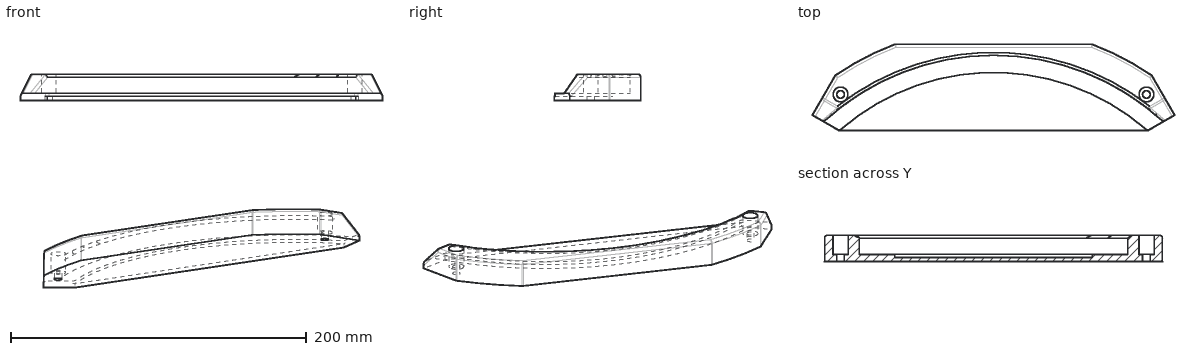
import cadquery as cq
import math

overall_width = 245.28
overall_depth = 58.65
overall_height = 18.0
floor_thickness = 3.0
ledge_height = 5.0
recess_radius = 157.7
wall_radius = 169.3
outer_radius = 189.0
front_y = 118.25
end_angle = 30.0
ramp_angle = 45.0
edge_radius = 2.0
length_tolerance = 0.001
bolt_diameter = 5.0
head_diameter = 10.0
head_floor = ledge_height
bolt_x = 103.5
bolt_y = 142.8

back_y = front_y + overall_depth
half_width = overall_width / 2
front_corner_x = math.sqrt(recess_radius**2 - front_y**2)
cos_end = math.cos(math.radians(end_angle))
sin_end = math.sin(math.radians(end_angle))
tip_y = front_y + (half_width - front_corner_x) * sin_end / cos_end
back_corner_x = math.sqrt(outer_radius**2 - back_y**2)

tip_along_side = tip_y * cos_end - half_width * sin_end
tip_excess = half_width**2 + tip_y**2 - outer_radius**2
side_length = math.sqrt(tip_along_side**2 - tip_excess) - tip_along_side
side_corner_x = half_width - side_length * sin_end
side_corner_y = tip_y + side_length * cos_end

back_corner_angle = math.atan2(back_y, back_corner_x)
side_corner_angle = math.atan2(side_corner_y, side_corner_x)
arc_mid_angle = (back_corner_angle + side_corner_angle) / 2
arc_mid_x = outer_radius * math.cos(arc_mid_angle)
arc_mid_y = outer_radius * math.sin(arc_mid_angle)


def outline(height):
    """Plan outline of the part with its back corners rounded, extruded up from the base."""
    body = (
        cq.Workplane("XY")
        .moveTo(-front_corner_x, front_y)
        .lineTo(front_corner_x, front_y)
        .lineTo(half_width, tip_y)
        .lineTo(side_corner_x, side_corner_y)
        .threePointArc((arc_mid_x, arc_mid_y), (back_corner_x, back_y))
        .lineTo(-back_corner_x, back_y)
        .threePointArc((-arc_mid_x, arc_mid_y), (-side_corner_x, side_corner_y))
        .lineTo(-half_width, tip_y)
        .close()
        .extrude(height)
    )
    behind_tips = cq.selectors.BoxSelector(
        (-half_width, (tip_y + side_corner_y) / 2, 0),
        (half_width, back_y + edge_radius, height),
    )
    return body.edges("|Z").edges(behind_tips).fillet(edge_radius)


def disc(radius):
    """Full-height cylinder about the common arc centre."""
    return cq.Workplane("XY").circle(radius).extrude(overall_height)


def curved_ledge():
    """Low step between the recess and the rim, with rounded corners at its two ends."""
    ledge = outline(ledge_height).cut(disc(recess_radius))
    ledge = ledge.intersect(disc(wall_radius + edge_radius))
    return ledge.edges("|Z").edges("<Y").fillet(edge_radius)


def end_ramp(side):
    """Wedge removed above the sloped end of the rim; side is +1 or -1 in X."""
    rise = overall_height - ledge_height
    run = rise / math.tan(math.radians(ramp_angle))
    end_plane = cq.Plane(
        origin=(side * half_width, tip_y, ledge_height),
        xDir=(-side * sin_end, cos_end, 0),
        normal=(cos_end, side * sin_end, 0),
    )
    return (
        cq.Workplane(end_plane)
        .polyline([(0, 0), (run, rise), (0, rise)])
        .close()
        .extrude(overall_depth, both=True)
    )


def is_upper_edge(edge):
    """True for edges centred above the ledge that are not upright, so all top and ramp edges."""
    above_ledge = edge.Center().z > ledge_height
    height_change = abs(edge.startPoint().z - edge.endPoint().z)
    upright = height_change > edge.Length() - length_tolerance
    return above_ledge and not upright


def raised_rim():
    """Curved rim with sloped ends and rounded upper edges."""
    rim = outline(overall_height).cut(disc(wall_radius))
    for side in (1, -1):
        rim = rim.cut(end_ramp(side))
    upper_edges = rim.edges().filter(is_upper_edge)
    return upper_edges.fillet(edge_radius)


def bolt_hole(x):
    """Clearance hole with a deep bolt-head counterbore above it."""
    shank = cq.Workplane("XY").center(x, bolt_y).circle(bolt_diameter / 2).extrude(overall_height)
    head = (
        cq.Workplane("XY", origin=(x, bolt_y, head_floor))
        .circle(head_diameter / 2)
        .extrude(overall_height)
    )
    return shank.union(head)


result = outline(floor_thickness).union(curved_ledge()).union(raised_rim())
for hole_x in (bolt_x, -bolt_x):
    result = result.cut(bolt_hole(hole_x))